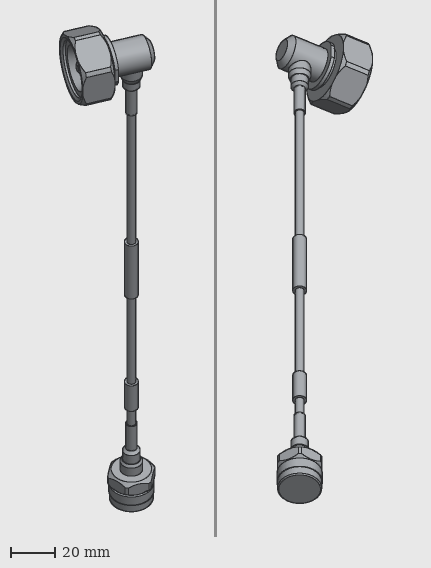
import cadquery as cq
import math


cable_dia = 4.0
sleeve_dia = 6.3
sleeve_spans = [(123.0, 155.0), (55.0, 70.5)]
boot_dia = 5.0
boot_length = 14.8

plug_dia = 20.5
plug_rim_dia = 20.0
plug_rim_height = 4.5
plug_rim_chamfer = 0.5
plug_hex_flats = 20.0
plug_hex_corners = 22.3
plug_hex_bottom = 9.7
plug_hex_top = 17.7
plug_hex_chamfer_dia = 18.3
plug_hex_chamfer_height = 2.0
plug_collar_top = 24.0
plug_ferrule_top = 30.5

collar_dia = 10.3
collar_neck_dia = 8.5
ferrule_dia = 8.0
ferrule_chamfer = 1.5

overall_height = 285.3
nut_flats = 32.0
nut_corners = 35.7
nut_back = 13.5
nut_front = 28.8
nut_chamfer = 1.7
nut_end_dia = 32.2
nut_bore_dia = 26.8
nut_bore_mouth_dia = 29.7
nut_bore_mouth_depth = 0.9
contact_recess = 2.0
contact_mouth_dia = 21.7
contact_floor_dia = 18.3
contact_floor_depth = 5.7
pin_dia = 7.7
pin_tip_dia = 3.5
pin_taper = 1.5
pin_recess = 2.9
elbow_dia = 16.3
elbow_back = -9.5
elbow_back_chamfer = 2.5
elbow_back_dia = 10.3
flange_back = 10.0
flange_front = 11.7
flange_dia = 23.0
flange_flats = 22.0
nut_neck_dia = 19.5

nut_axis_z = overall_height - nut_corners / 2
elbow_collar_bottom = 256.2
elbow_ferrule_start = 253.5
elbow_ferrule_bottom = 248.0
elbow_boot_bottom = elbow_ferrule_bottom - boot_length


def cylinder(dia, bottom, top):
    """Round bar on the Z axis between two heights."""
    return cq.Workplane("XY").workplane(offset=bottom).circle(dia / 2).extrude(top - bottom)


def turned(stations):
    """Solid of revolution about Z through (diameter, height) stations."""
    outline = [(dia / 2, height) for dia, height in stations]
    bottom, top = stations[0][1], stations[-1][1]
    profile = cq.Workplane("XZ").polyline([(0, bottom), *outline, (0, top)]).close()
    return profile.revolve(360, (0, 0, 0), (0, 1, 0))


def hexagon(flats, bottom, top):
    """Hexagonal bar on the Z axis with two flats facing +X and -X."""
    corner_circle = flats / math.cos(math.pi / 6)
    bar = cq.Workplane("XY").polygon(6, corner_circle).extrude(top - bottom)
    return bar.rotate((0, 0, 0), (0, 0, 1), 30).translate((0, 0, bottom))


def make_cable():
    return cylinder(cable_dia, plug_ferrule_top, elbow_ferrule_bottom)


def make_sleeve(bottom, top):
    return cylinder(sleeve_dia, bottom, top).cut(cylinder(cable_dia, bottom, top))


def make_boot(bottom):
    top = bottom + boot_length
    return cylinder(boot_dia, bottom, top).cut(cylinder(cable_dia, bottom, top))


def make_straight_connector():
    body = turned([
        (plug_rim_dia - 2 * plug_rim_chamfer, 0),
        (plug_rim_dia, plug_rim_chamfer),
        (plug_rim_dia, plug_rim_height),
        (plug_dia, plug_rim_height),
        (plug_dia, plug_hex_bottom),
        (collar_dia, plug_hex_bottom),
        (collar_dia, plug_collar_top - ferrule_chamfer),
        (collar_neck_dia, plug_collar_top),
        (ferrule_dia, plug_collar_top),
        (ferrule_dia, plug_ferrule_top - ferrule_chamfer),
        (boot_dia, plug_ferrule_top),
    ])
    hex_limit = turned([
        (plug_hex_chamfer_dia, plug_hex_bottom),
        (plug_hex_corners, plug_hex_bottom + plug_hex_chamfer_height),
        (plug_hex_corners, plug_hex_top - plug_hex_chamfer_height),
        (plug_hex_chamfer_dia, plug_hex_top),
    ])
    hex_section = hexagon(plug_hex_flats, plug_hex_bottom, plug_hex_top).intersect(hex_limit)
    return body.union(hex_section).union(make_boot(plug_ferrule_top))


def make_coupling_nut():
    """Hex nut with rounded corners, its bore, contact cup and centre pin, along Z."""
    limit = turned([
        (nut_end_dia, nut_back),
        (nut_corners, nut_back + nut_chamfer),
        (nut_corners, nut_front - nut_chamfer),
        (nut_end_dia, nut_front),
    ])
    contact_face = nut_front - contact_recess
    cavity = turned([
        (contact_floor_dia, nut_front - contact_floor_depth),
        (contact_mouth_dia, contact_face),
        (nut_bore_dia, contact_face),
        (nut_bore_dia, nut_front - nut_bore_mouth_depth),
        (nut_bore_mouth_dia, nut_front),
    ])
    pin_tip = nut_front - pin_recess
    pin = turned([
        (pin_dia, nut_front - contact_floor_depth),
        (pin_dia, pin_tip - pin_taper),
        (pin_tip_dia, pin_tip),
    ])
    return hexagon(nut_flats, nut_back, nut_front).intersect(limit).cut(cavity).union(pin)


def make_elbow_body():
    """Closed round housing with the flange that carries the nut, along Z."""
    housing = turned([
        (elbow_back_dia, elbow_back),
        (elbow_dia, elbow_back + elbow_back_chamfer),
        (elbow_dia, flange_back),
        (nut_neck_dia, flange_back),
        (nut_neck_dia, nut_back),
    ])
    flange = cylinder(flange_dia, flange_back, flange_front)
    flats = cq.Workplane("XY").box(flange_flats, flange_dia, 2 * flange_front)
    return housing.union(flange.intersect(flats))


def make_angle_connector():
    head = make_elbow_body().union(make_coupling_nut())
    head = head.rotate((0, 0, 0), (1, 0, 0), 90).translate((0, 0, nut_axis_z))
    ferrule = turned([
        (boot_dia, elbow_ferrule_bottom),
        (ferrule_dia, elbow_ferrule_bottom + ferrule_chamfer),
        (ferrule_dia, elbow_ferrule_start),
        (collar_neck_dia, elbow_ferrule_start),
        (collar_dia, elbow_collar_bottom),
        (collar_dia, nut_axis_z),
    ])
    return head.union(ferrule).union(make_boot(elbow_boot_bottom))


cable = make_cable()
sleeves = [make_sleeve(bottom, top) for bottom, top in sleeve_spans]
straight_connector = make_straight_connector()
angle_connector = make_angle_connector()

result = cq.Compound.makeCompound([
    cable.val(),
    *[sleeve.val() for sleeve in sleeves],
    straight_connector.val(),
    angle_connector.val(),
])